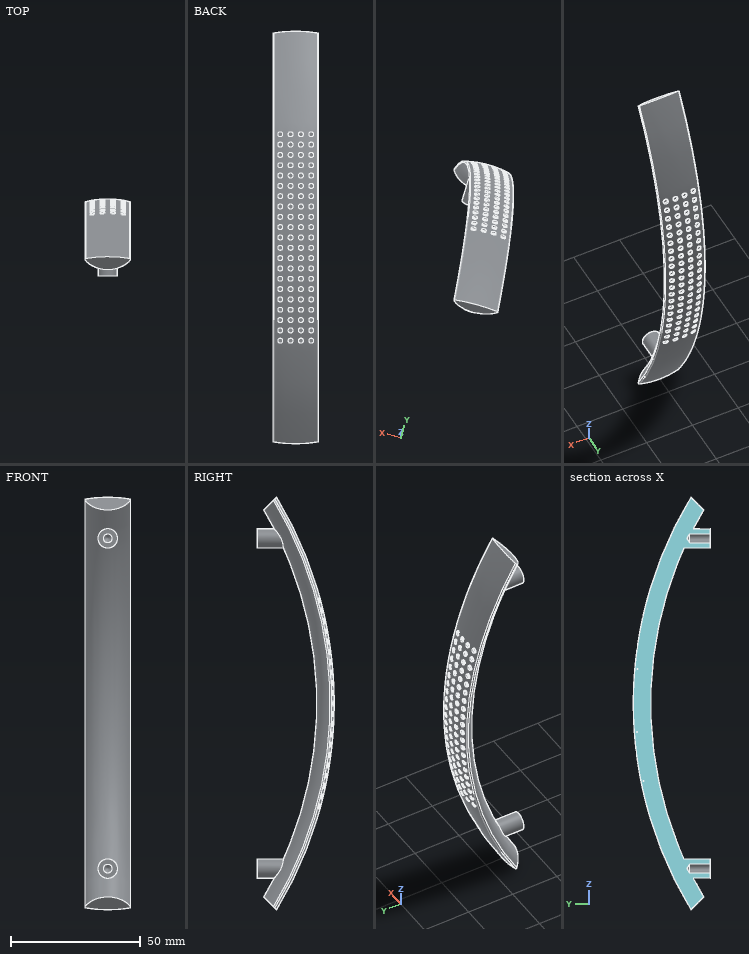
import cadquery as cq
import math

height = 160.0
overall_depth = 29.9
bar_thickness = 6.9
crown_rise = 1.1
sharp_width = 18.2
side_radius = 0.5
outer_bow_rise = 22.4
bow_sweep_angle = 100.0
end_cut_angle = 45.0

post_spacing = 128.0
post_diameter = 7.5
hole_diameter = 3.4
hole_depth = 8.0
drill_point_angle = 118.0

dimple_diameter = 1.9
dimple_depth = 0.5
dimple_pitch = 4.0
dimple_columns = 4
dimple_rows = 21
cutter_clearance = 1.3

half_height = height / 2
half_sharp_width = sharp_width / 2
bow_radius = (half_height**2 + outer_bow_rise**2) / (2 * outer_bow_rise)
crown_radius = (half_sharp_width**2 + crown_rise**2) / (2 * crown_rise)
mounting_y = -overall_depth


def lens_section():
    """Section of the bar at mid height: shallow outer arc, deeper inner arc, rounded sides."""
    sharp_lens = (
        cq.Workplane("XY")
        .moveTo(-half_sharp_width, -crown_rise)
        .threePointArc((0, 0), (half_sharp_width, -crown_rise))
        .threePointArc((0, -bar_thickness), (-half_sharp_width, -crown_rise))
        .close()
        .extrude(1.6)
    )
    return sharp_lens.edges("|Z").fillet(side_radius).faces("<Z").wires().toPending()


def bowed_bar():
    """Revolve the section about the bow axis, then cut the ends obliquely."""
    axis_start = (0, -bow_radius, 0)
    axis_end = (1, -bow_radius, 0)
    bar = lens_section().revolve(bow_sweep_angle, axis_start, axis_end)
    bar = bar.rotate(axis_start, axis_end, -bow_sweep_angle / 2)
    reach_y = overall_depth
    reach_z = reach_y * math.tan(math.radians(end_cut_angle))
    tip_y = -outer_bow_rise
    keep = (
        cq.Workplane("YZ")
        .polyline([
            (tip_y + reach_y, half_height + reach_z),
            (tip_y - reach_y, half_height - reach_z),
            (tip_y - reach_y, reach_z - half_height),
            (tip_y + reach_y, -half_height - reach_z),
        ])
        .close()
        .extrude(sharp_width, both=True)
    )
    return bar.intersect(keep)


def outer_face_y(x, z):
    """Y of the crowned outer face at a given X and Z."""
    crown_drop = crown_radius - math.sqrt(crown_radius**2 - x**2)
    return math.sqrt((bow_radius - crown_drop)**2 - z**2) - bow_radius


def dimple(x, z):
    """Round cutter that enters the outer face parallel to the Y axis."""
    return (
        cq.Workplane("XZ", origin=(x, outer_face_y(x, z) - dimple_depth, z))
        .circle(dimple_diameter / 2)
        .extrude(-(dimple_depth + cutter_clearance))
    )


def grip_dimples():
    """All dimple cutters, in a grid centred on the outer face."""
    cutters = cq.Workplane("XY")
    for column in range(dimple_columns):
        x = (column - (dimple_columns - 1) / 2) * dimple_pitch
        for row in range(dimple_rows):
            z = (row - (dimple_rows - 1) / 2) * dimple_pitch
            cutters = cutters.add(dimple(x, z))
    return cutters.combine()


def post(z):
    """Round post from the mounting face into the bar, stopping inside it."""
    post_length = overall_depth + outer_face_y(0, z) - bar_thickness / 2
    return (
        cq.Workplane("XZ", origin=(0, mounting_y, z))
        .circle(post_diameter / 2)
        .extrude(-post_length)
    )


def screw_hole(z):
    """Blind drilled hole with a conical bottom, opening at the mounting face."""
    hole_radius = hole_diameter / 2
    point_depth = hole_radius / math.tan(math.radians(drill_point_angle / 2))
    return (
        cq.Workplane("XY")
        .polyline([
            (0, mounting_y),
            (hole_radius, mounting_y),
            (hole_radius, mounting_y + hole_depth),
            (0, mounting_y + hole_depth + point_depth),
        ])
        .close()
        .revolve(360, (0, 0, 0), (0, 1, 0))
        .translate((0, 0, z))
    )


handle = bowed_bar().cut(grip_dimples(), clean=False)
for post_z in (-post_spacing / 2, post_spacing / 2):
    handle = handle.union(post(post_z), clean=False)
    handle = handle.cut(screw_hole(post_z), clean=False)

result = handle